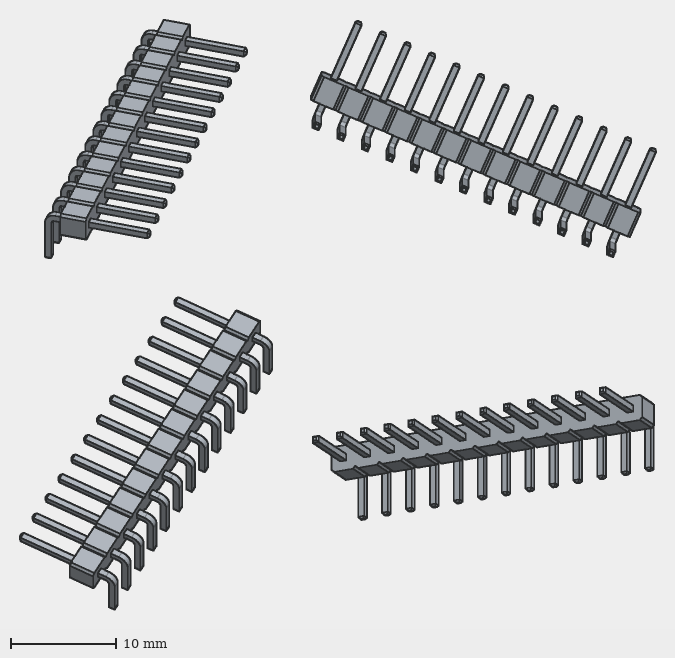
import cadquery as cq

pin_count = 13
row_length = 33.02
pitch = row_length / pin_count

housing_size = pitch
housing_bevel = 0.25

pin_width = pitch / 4
pin_reach = 10.37
overall_height = 6.17
housing_offset = 1.8
bend_outer_radius = 1.0
bend_inner_radius = bend_outer_radius - pin_width
tip_length = 0.2
tip_inset = 0.15

pin_top = pin_width / 2
pin_bottom = housing_size / 2 - overall_height


def make_segment(center_y):
    """One bevelled housing segment; adjoining bevels form the V grooves."""
    return (
        cq.Workplane("XY")
        .box(housing_size, pitch, housing_size)
        .edges("|X")
        .chamfer(housing_bevel)
        .translate((housing_offset + housing_size / 2, center_y, 0))
    )


def make_tip(base_plane):
    """Truncated pyramid that ends a pin leg."""
    end_width = pin_width - 2 * tip_inset
    return (
        cq.Workplane(base_plane)
        .rect(pin_width, pin_width)
        .workplane(offset=tip_length)
        .rect(end_width, end_width)
        .loft(ruled=True)
    )


def make_pin():
    """Square pin bent through 90 degrees, tapered at both ends."""
    leg_end_x = pin_reach - tip_length
    leg_end_z = pin_bottom + tip_length
    legs = (
        cq.Workplane("XZ")
        .moveTo(0, leg_end_z)
        .lineTo(0, pin_top - bend_outer_radius)
        .radiusArc((bend_outer_radius, pin_top), bend_outer_radius)
        .lineTo(leg_end_x, pin_top)
        .lineTo(leg_end_x, -pin_top)
        .lineTo(bend_outer_radius, -pin_top)
        .radiusArc((pin_width, pin_top - bend_outer_radius), -bend_inner_radius)
        .lineTo(pin_width, leg_end_z)
        .close()
        .extrude(pin_width / 2, both=True)
    )
    front_tip = make_tip(cq.Plane((leg_end_x, 0, 0), xDir=(0, 1, 0), normal=(1, 0, 0)))
    lower_tip = make_tip(cq.Plane((pin_width / 2, 0, leg_end_z), xDir=(1, 0, 0), normal=(0, 0, -1)))
    return legs.union(front_tip).union(lower_tip)


pin = make_pin()
result = cq.Workplane("XY")
for index in range(pin_count):
    pin_y = (index - (pin_count - 1) / 2) * pitch
    result = result.union(make_segment(pin_y)).union(pin.translate((0, pin_y, 0)))